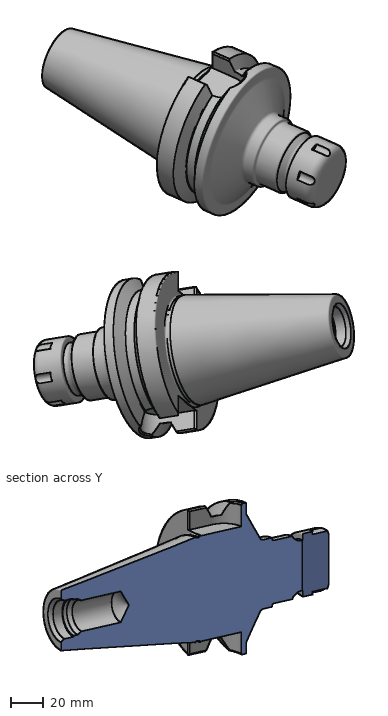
import cadquery as cq
import math


taper_slope = 7 / 48
gauge_radius = 69.85 / 2
shank_length = 101.8
shank_end_radius = gauge_radius - shank_length * taper_slope
edge_round = 1.0
taper_end = -0.6
taper_end_radius = gauge_radius + taper_end * taper_slope
collar_radius = 34.3
collar_start = taper_end + taper_end_radius - collar_radius
collar_fillet = 1.2

mouth_radius = 14.3
mouth_chamfer = 0.7
pilot_radius = 12.5
pilot_depth = 9.5
thread_mouth_radius = 11.8
thread_mouth_depth = 12.5
thread_radius = 10.1
thread_depth = 45.0
countersink_angle = math.radians(30)
drill_angle = math.radians(59)

flange_start = 3.0
flange_end = 38.0
flange_radius = 50.0
groove_radius = 42.2
groove_center = 23.55
groove_fillet = 0.5
groove_floor_width = 6.5
flank_angle = math.radians(30)
flank_length = (flange_radius - groove_radius) * math.tan(flank_angle)
groove_left = groove_center - groove_floor_width / 2
groove_right = groove_center + groove_floor_width / 2

slot_width = 25.7
slot_floor = 35.0
slot_center = 21.0
slot_chamfer = 1.0

cone_radius = 42.3
cone_angle = math.radians(30)
boss_radius = 23.0
boss_end = 57.5
cone_end = flange_end + (cone_radius - boss_radius) * math.tan(cone_angle)
cone_root_fillet = 3.0
cone_fillet = 2.0
boss_root_fillet = 0.9
body_radius = 21.0
body_end = 73.0
neck_cone_radius = 19.8
neck_radius = 16.8
neck_start = 77.0
neck_fillet = 2.0

nut_start = 80.0
nut_end = 100.0
nut_radius = 21.0
nut_nose_fillet = 5.0
wrench_slot_count = 6
wrench_slot_start = 87.8
wrench_slot_radius = 3.25
wrench_slot_floor = 19.1


def revolve_about_x(points):
    """Solid of revolution about X from (x, radius) points that start and end on the axis."""
    return cq.Workplane("XY").polyline(points).close().revolve(360, (0, 0, 0), (1, 0, 0))


def round_ring(body, x, radius, fillet):
    """Fillet the full circular edge of the given radius at station x."""
    tolerance = 0.01

    def is_ring(edge):
        if edge.geomType() != "CIRCLE":
            return False
        return abs(edge.Center().x - x) < tolerance and abs(edge.radius() - radius) < tolerance

    return body.edges().filter(is_ring).fillet(fillet)


def make_bore():
    """Cutter for the pull stud bore: countersunk mouth, pilot, thread core and drill point."""
    countersink_radius = mouth_radius - mouth_chamfer
    pilot_start = mouth_chamfer + (countersink_radius - pilot_radius) / math.tan(countersink_angle)
    thread_start = thread_mouth_depth + (thread_mouth_radius - thread_radius) / math.tan(countersink_angle)
    drill_tip = thread_depth + thread_radius / math.tan(drill_angle)
    bore = revolve_about_x([
        (0, 0),
        (0, mouth_radius),
        (mouth_chamfer, countersink_radius),
        (pilot_start, pilot_radius),
        (pilot_depth, pilot_radius),
        (pilot_depth, thread_mouth_radius),
        (thread_mouth_depth, thread_mouth_radius),
        (thread_start, thread_radius),
        (thread_depth, thread_radius),
        (drill_tip, 0),
    ])
    return bore.translate((-shank_length, 0, 0))


def make_drive_slot():
    """Cutter for the +Z drive slot, open toward the taper and round at the other end."""
    half_width = slot_width / 2
    return (
        cq.Workplane("XY", origin=(0, 0, slot_floor))
        .moveTo(flange_start, -half_width)
        .lineTo(slot_center, -half_width)
        .threePointArc((slot_center + half_width, 0), (slot_center, half_width))
        .lineTo(flange_start, half_width)
        .close()
        .extrude(flange_radius - slot_floor)
    )


def make_slot_bevels():
    """Cutter for the chamfers along the straight walls of the +Z drive slot."""
    half_width = slot_width / 2
    wide = half_width + slot_chamfer
    rim_height = math.sqrt(flange_radius**2 - wide**2)
    face_bevel = (
        cq.Workplane("XY", origin=(0, 0, slot_floor))
        .polyline([
            (flange_start, -wide),
            (flange_start + slot_chamfer, -half_width),
            (flange_start + slot_chamfer, half_width),
            (flange_start, wide),
        ])
        .close()
        .extrude(flange_radius - slot_floor)
    )
    rim_bevel = (
        cq.Workplane("YZ", origin=(flange_start, 0, 0))
        .polyline([
            (-half_width, rim_height - slot_chamfer),
            (-wide, rim_height),
            (-wide, flange_radius),
            (wide, flange_radius),
            (wide, rim_height),
            (half_width, rim_height - slot_chamfer),
        ])
        .close()
        .extrude(groove_center - flange_start)
    )
    return face_bevel.union(rim_bevel)


def is_slot_end_rim(edge):
    """True for the edge where the round end of a drive slot meets the outer flange surface."""
    tolerance = 0.01
    middle = edge.positionAt(0.5)
    return (
        abs(middle.y) < tolerance
        and abs(abs(middle.z) - flange_radius) < tolerance
        and abs(middle.x - slot_center - slot_width / 2) < tolerance
    )


def make_holder():
    holder = revolve_about_x([
        (-shank_length, 0),
        (-shank_length, shank_end_radius),
        (taper_end, taper_end_radius),
        (collar_start, collar_radius),
        (flange_start, collar_radius),
        (flange_start, flange_radius),
        (groove_left - flank_length, flange_radius),
        (groove_left, groove_radius),
        (groove_right, groove_radius),
        (groove_right + flank_length, flange_radius),
        (flange_end, flange_radius),
        (flange_end, cone_radius),
        (cone_end, boss_radius),
        (boss_end, boss_radius),
        (boss_end, body_radius),
        (body_end, body_radius),
        (body_end, neck_cone_radius),
        (neck_start, neck_radius),
        (nut_start, neck_radius),
        (nut_start, 0),
    ])
    rounds = [
        (-shank_length, shank_end_radius, edge_round),
        (collar_start, collar_radius, edge_round),
        (flange_start, collar_radius, collar_fillet),
        (flange_start, flange_radius, edge_round),
        (groove_left, groove_radius, groove_fillet),
        (groove_right, groove_radius, groove_fillet),
        (flange_end, flange_radius, edge_round),
        (flange_end, cone_radius, cone_root_fillet),
        (cone_end, boss_radius, cone_fillet),
        (boss_end, boss_radius, edge_round),
        (boss_end, body_radius, boss_root_fillet),
        (body_end, body_radius, edge_round),
        (neck_start, neck_radius, neck_fillet),
    ]
    for x, radius, fillet in rounds:
        holder = round_ring(holder, x, radius, fillet)
    holder = holder.cut(make_bore())
    slot = make_drive_slot()
    bevels = make_slot_bevels()
    for turn in (0, 180):
        for cutter in (slot, bevels):
            holder = holder.cut(cutter.rotate((0, 0, 0), (1, 0, 0), turn))
    return holder.edges().filter(is_slot_end_rim).chamfer(slot_chamfer)


def make_nut():
    nut = revolve_about_x([
        (nut_start, 0),
        (nut_start, nut_radius),
        (nut_end, nut_radius),
        (nut_end, 0),
    ])
    nut = round_ring(nut, nut_end, nut_radius, nut_nose_fillet)
    nut = round_ring(nut, nut_start, nut_radius, edge_round)
    wrench_slot = (
        cq.Workplane("YZ", origin=(wrench_slot_start, 0, wrench_slot_floor + wrench_slot_radius))
        .circle(wrench_slot_radius)
        .extrude(nut_end - wrench_slot_start)
    )
    for index in range(wrench_slot_count):
        turn = index * 360 / wrench_slot_count
        nut = nut.cut(wrench_slot.rotate((0, 0, 0), (1, 0, 0), turn))
    return nut


holder = make_holder()
nut = make_nut()
result = cq.Compound.makeCompound([holder.val(), nut.val()])